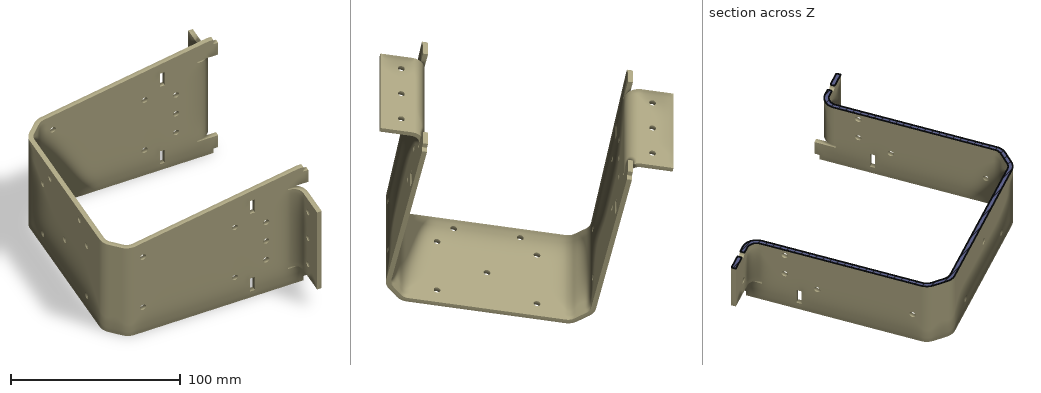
import cadquery as cq
import math

SHEET = 3.0
BODY_WIDTH = 126.0
TOTAL_WIDTH = 176.0
TOTAL_DEPTH = 129.0
SIDE_HEIGHT = 90.5
FRONT_HEIGHT = 69.8
BEND_TOP_HEIGHT = 70.4
TOP_FLAT_LENGTH = 3.0
HOLE_DIAMETER = 4.0

CORNER_SETBACK = 11.6
CORNER_RADIUS = 9.3
BEND_ANGLE = 45.0

LUG_LENGTH = 3.2
LUG_HEIGHT = 9.5
LUG_END_OFFSET = 3.5
RELIEF_WIDTH = 1.5
RELIEF_DEPTH = 1.2

FLANGE_INNER_RADIUS = 6.0
FLANGE_HOLE_EDGE = 12.6
FLANGE_HOLE_SPACING = 20.75

SIDE_GRID_Y = (21.0, 81.0)
SIDE_GRID_Z = (20.0, 60.0)
SIDE_ROW_Y = 101.5
SIDE_ROW_Z = 41.0
SIDE_ROW_SPACING = 15.0
SLOT_Y = 92.5
SLOT_WIDTH = 3.3
SLOT_HEIGHT = 10.3
SLOT_SPACING = 62.0

FRONT_CENTRE_Z = 30.0
FRONT_GRID_X = 30.0
FRONT_GRID_Z = 20.0
FRONT_TOP_X = 20.0
FRONT_TOP_Z = 62.5

BEND_START = CORNER_SETBACK + CORNER_RADIUS * math.tan(math.radians(BEND_ANGLE / 2))
HALF_BODY = BODY_WIDTH / 2
HALF_TOTAL = TOTAL_WIDTH / 2
MID_HEIGHT = SIDE_HEIGHT / 2
REAR_EDGE = TOTAL_DEPTH - LUG_LENGTH
FLANGE_OUTER_RADIUS = FLANGE_INNER_RADIUS + SHEET
FLANGE_BEND_START = REAR_EDGE - FLANGE_OUTER_RADIUS
RELIEF_END = FLANGE_BEND_START - RELIEF_DEPTH
LUG_SPAN = SIDE_HEIGHT - 2 * LUG_END_OFFSET
RELIEF_SPAN = LUG_SPAN - 2 * LUG_HEIGHT
FLANGE_HEIGHT = RELIEF_SPAN - 2 * RELIEF_WIDTH


def corner_prism(half_width, front, setback, radius):
    """Full-height prism with straight sides, an open rear and two bent 45 degree front corners."""
    prism = (
        cq.Workplane("XY")
        .moveTo(-half_width, TOTAL_DEPTH)
        .lineTo(-half_width, front + setback)
        .lineTo(-half_width + setback, front)
        .lineTo(half_width - setback, front)
        .lineTo(half_width, front + setback)
        .lineTo(half_width, TOTAL_DEPTH)
        .close()
        .extrude(SIDE_HEIGHT)
    )
    return prism.edges("|Z").edges("not >Y").fillet(radius)


def bent_strip():
    """U-shaped strip of constant thickness, before its edges are trimmed."""
    inner_setback = CORNER_SETBACK - SHEET * (2 - math.sqrt(2))
    outside = corner_prism(HALF_BODY, 0, CORNER_SETBACK, CORNER_RADIUS)
    inside = corner_prism(HALF_BODY - SHEET, SHEET, inner_setback, CORNER_RADIUS - SHEET)
    return outside.cut(inside)


def side_profile():
    """Side outline: sloping top edge, stepped rear edge and the recess between the lugs."""
    body = (
        cq.Workplane("YZ")
        .moveTo(0, 0)
        .lineTo(REAR_EDGE, 0)
        .lineTo(REAR_EDGE, SIDE_HEIGHT)
        .lineTo(REAR_EDGE - TOP_FLAT_LENGTH, SIDE_HEIGHT)
        .lineTo(BEND_START, BEND_TOP_HEIGHT)
        .lineTo(0, BEND_TOP_HEIGHT)
        .close()
        .extrude(HALF_BODY, both=True)
    )
    rear_length = TOTAL_DEPTH - RELIEF_END
    rear_centre = (0, TOTAL_DEPTH - rear_length / 2, MID_HEIGHT)
    lugs = cq.Workplane("XY").box(BODY_WIDTH, rear_length, LUG_SPAN).translate(rear_centre)
    recess = cq.Workplane("XY").box(BODY_WIDTH, rear_length, RELIEF_SPAN).translate(rear_centre)
    return body.union(lugs).cut(recess)


def front_trim():
    """Cutter that lowers the front and facets, descending helically around each side bend."""
    bend_drop = BEND_TOP_HEIGHT - FRONT_HEIGHT
    axis_x = HALF_BODY - CORNER_RADIUS
    ramp_radius = 2 * CORNER_RADIUS
    front_block = (
        cq.Workplane("XY")
        .workplane(offset=FRONT_HEIGHT)
        .rect(BODY_WIDTH, 2 * BEND_START)
        .extrude(bend_drop)
    )
    right_ramp = (
        cq.Workplane("XY")
        .workplane(offset=FRONT_HEIGHT)
        .center(axis_x, BEND_START)
        .transformed(rotate=(0, 0, -BEND_ANGLE))
        .lineTo(ramp_radius, 0)
        .threePointArc((0, ramp_radius), (-ramp_radius, 0))
        .close()
        .twistExtrude(bend_drop, BEND_ANGLE)
    )
    return front_block.cut(right_ramp).cut(right_ramp.mirror("YZ"))


def flange():
    """Right-hand flange: a short tongue of the wall, a quarter bend and a flat plate."""
    wall_inner = HALF_BODY - SHEET
    bend_x = HALF_BODY + FLANGE_INNER_RADIUS
    diagonal = math.sqrt(0.5)
    outer_mid = (
        bend_x - FLANGE_OUTER_RADIUS * diagonal,
        FLANGE_BEND_START + FLANGE_OUTER_RADIUS * diagonal,
    )
    inner_mid = (
        bend_x - FLANGE_INNER_RADIUS * diagonal,
        FLANGE_BEND_START + FLANGE_INNER_RADIUS * diagonal,
    )
    plate = (
        cq.Workplane("XY")
        .workplane(offset=MID_HEIGHT - FLANGE_HEIGHT / 2)
        .moveTo(wall_inner, RELIEF_END)
        .lineTo(wall_inner, FLANGE_BEND_START)
        .threePointArc(outer_mid, (bend_x, REAR_EDGE))
        .lineTo(HALF_TOTAL, REAR_EDGE)
        .lineTo(HALF_TOTAL, REAR_EDGE - SHEET)
        .lineTo(bend_x, REAR_EDGE - SHEET)
        .threePointArc(inner_mid, (HALF_BODY, FLANGE_BEND_START))
        .lineTo(HALF_BODY, RELIEF_END)
        .close()
        .extrude(FLANGE_HEIGHT)
    )
    hole_x = HALF_TOTAL - FLANGE_HOLE_EDGE
    holes = [(hole_x, MID_HEIGHT + step * FLANGE_HOLE_SPACING) for step in (-1, 0, 1)]
    return plate.cut(drill_along_y(holes, TOTAL_DEPTH))


def drill_along_y(points, depth):
    """Hole cutters along Y at the given (X, Z) points, from the front face to the given depth."""
    return cq.Workplane("XZ").pushPoints(points).circle(HOLE_DIAMETER / 2).extrude(-depth)


def front_holes():
    """Cutters for the seven holes through the front wall."""
    points = [(0, FRONT_CENTRE_Z)]
    for side in (-1, 1):
        points.append((side * FRONT_TOP_X, FRONT_TOP_Z))
        for level in (-1, 1):
            points.append((side * FRONT_GRID_X, FRONT_CENTRE_Z + level * FRONT_GRID_Z))
    return drill_along_y(points, SHEET)


def side_openings():
    """Cutters for the round holes and upright slots, passing through both side walls."""
    points = [(y, z) for y in SIDE_GRID_Y for z in SIDE_GRID_Z]
    points += [(SIDE_ROW_Y, SIDE_ROW_Z + step * SIDE_ROW_SPACING) for step in (-1, 0, 1)]
    slots = [(SLOT_Y, SIDE_ROW_Z + side * SLOT_SPACING / 2) for side in (-1, 1)]
    plane = cq.Workplane("YZ")
    holes = plane.pushPoints(points).circle(HOLE_DIAMETER / 2).extrude(HALF_BODY, both=True)
    slot_cuts = plane.pushPoints(slots).rect(SLOT_WIDTH, SLOT_HEIGHT).extrude(HALF_BODY, both=True)
    return holes.union(slot_cuts)


bracket = bent_strip().intersect(side_profile()).cut(front_trim())
bracket = bracket.cut(front_holes()).cut(side_openings())
right_flange = flange()
result = bracket.union(right_flange).union(right_flange.mirror("YZ"))